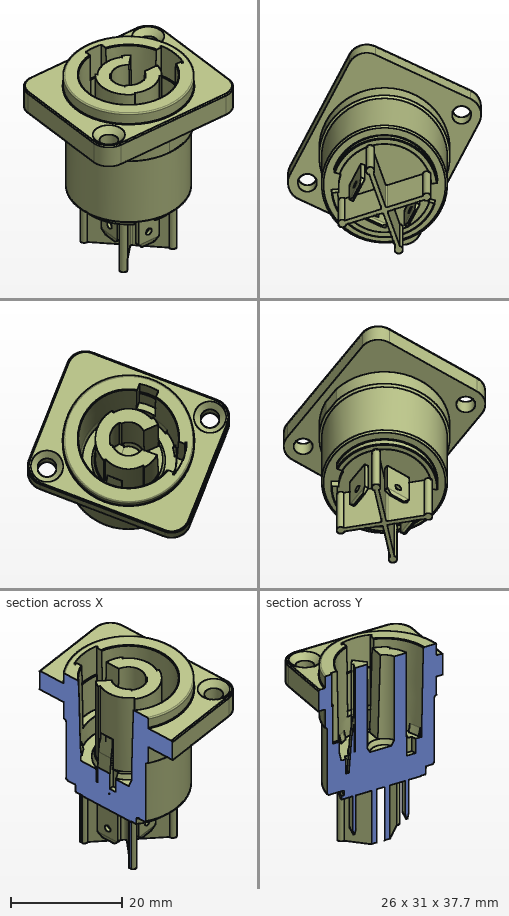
import cadquery as cq
import math

COLLAR_TOP = 2.45
FLANGE_THICKNESS = 4.5
SHOULDER_LENGTH = 4.1
BODY_BOTTOM = -22.45
RING_BOTTOM = -24.1
SPIGOT_BOTTOM = -24.2
TOTAL_LENGTH = 37.7
BARRIER_BOTTOM = COLLAR_TOP - TOTAL_LENGTH

FLANGE_WIDTH = 26.0
FLANGE_HEIGHT = 31.0
FLANGE_CORNER = 3.5
FLANGE_BEVEL = 0.25
SCREW_X = 9.5
SCREW_Y = 12.0
SCREW_DIA = 3.4
COUNTERSINK_DIA = 5.8
COUNTERSINK_ANGLE = 90

COLLAR_DIA = 23.5
COLLAR_ROUNDING = 0.25
COLLAR_FOOT = 0.12
BODY_DIA = 22.6
BODY_BEVEL = 0.35
SHOULDER_BEVEL = 0.4
KEY_FLAT_WIDTH = 3.4
RING_DIA = 19.1
RING_LIP_DIA = 19.2
RING_LIP_HEIGHT = 0.25
RING_BEVEL = 0.15
SPIGOT_DIA = 16.99

CATCH_ANGLES = (148, 172)
CATCH_FLOOR_RADIUS = 8.25
WINDOW_FLOOR_RADIUS = 7.8
WINDOW_HEIGHT = 0.9

CAVITY_FLOOR = -16.0
CAVITY_MOUTH_RADIUS = 9.0
CAVITY_FLOOR_RADIUS = 8.65
CAVITY_MOUTH_BEVEL = 0.15
CORE_RADIUS = 5.95
CORE_FOOT_RADIUS = 6.6
CORE_FOOT_STEP_RADIUS = 6.15
CORE_FOOT_HEIGHT = 1.0
CORE_TOP = COLLAR_TOP - 0.1
CORE_RELIEF_RADIUS = 5.55
CORE_RELIEF_ANGLES = (-27, 50)
CORE_GAP_SIDE = (0.42, 0.9)
CORE_GAP_SLANT = (0.1, 0.4)
BORE_MOUTH_RADIUS = 3.1
BORE_FLOOR_RADIUS = 2.6

TOP_KEY_RADIUS = 10.5
SIDE_KEY_RADIUS = 10.3
KEY_STEP = 0.3
KEY_STEP_Z = -4.15
KEYWAY_FLOOR = -12.0
TOP_KEY_WIDTH = 5.6
TOP_KEY_UNDERCUT_WIDTH = 6.3
TOP_KEY_UNDERCUT_RADIUS = 9.75
SIDE_KEY_WIDTH = 3.6
LOCKING_RAMP_ANGLES = ((-32, -8), (12, 28), (116, 128), CATCH_ANGLES, (195, 302))
RAMP_HEIGHT = 3.0
RAMP_RADIUS = 8.3

CONTACT_POCKET_RADIUS = 7.35
CONTACT_POCKET_WIDTH = 4.5
CONTACT_POCKET_DEPTH = 3.0
CONTACT_OUTER_X = 6.65
CONTACT_KNEE_X = 6.1
CONTACT_INNER_X = 5.5
CONTACT_WIDTH = 2.9
CONTACT_OFFSET_Y = 0.5
CONTACT_HEIGHT = 8.0
CONTACT_KNEE_HEIGHT = 4.0
EARTH_START_Y = -1.65
EARTH_RADIUS = 3.4
EARTH_WIDTH = 4.4

POST_DIA = 1.5
POST_POSITION = 5.66
WEB_THICKNESS = 0.8
WEB_FILLET = 0.3
TAB_WIDTH = 4.75
TAB_THICKNESS = 0.8
LINE_TAB_OUTER_FACE = 5.9
EARTH_TAB_OUTER_FACE = 4.4
TAB_BOTTOM = -32.15
TAB_TIP_LENGTH = 1.05
TAB_TIP_WIDTH = 2.85
TAB_TIP_THICKNESS = 0.3
TAB_HOLE_DIA = 1.3
TAB_HOLE_Z = -29.15


def cylinder(radius, bottom, top):
    return cq.Workplane("XY").workplane(offset=bottom).circle(radius).extrude(top - bottom)


def box(x_range, y_range, z_range):
    """Box spanning the given (low, high) ranges."""
    size = [high - low for low, high in (x_range, y_range, z_range)]
    corner = (x_range[0], y_range[0], z_range[0])
    return cq.Workplane("XY").box(*size, centered=False).translate(corner)


def sector(angles, inner, outer, bottom, top):
    """Ring segment between two angles in degrees."""
    def at(radius, angle):
        return (radius * math.cos(math.radians(angle)), radius * math.sin(math.radians(angle)))

    start, end = angles
    middle = (start + end) / 2
    return (
        cq.Workplane("XY").workplane(offset=bottom)
        .moveTo(*at(inner, start))
        .lineTo(*at(outer, start))
        .threePointArc(at(outer, middle), at(outer, end))
        .lineTo(*at(inner, end))
        .threePointArc(at(inner, middle), at(inner, start))
        .close()
        .extrude(top - bottom)
    )


def opposite(shape):
    """The same shape turned half a revolution about the main axis."""
    return shape.rotate((0, 0, 0), (0, 0, 1), 180)


def revolve_profile(points):
    """Revolve (radius, z) points about the main axis."""
    return cq.Workplane("XZ").polyline(points).close().revolve(360, (0, 0, 0), (0, 1, 0))


def flange():
    """Rounded rectangular mounting plate with a bevelled front rim."""
    return (
        cq.Workplane("XY").workplane(offset=-FLANGE_THICKNESS)
        .rect(FLANGE_WIDTH, FLANGE_HEIGHT).extrude(FLANGE_THICKNESS)
        .edges("|Z").fillet(FLANGE_CORNER)
        .faces(">Z").edges().chamfer(FLANGE_BEVEL)
    )


def cut_screw_holes(part):
    """Two countersunk screw holes in opposite corners of the flange."""
    return (
        part.faces(">Z").workplane(origin=(0, 0, 0))
        .pushPoints([(-SCREW_X, SCREW_Y), (SCREW_X, -SCREW_Y)])
        .cskHole(SCREW_DIA, COUNTERSINK_DIA, COUNTERSINK_ANGLE)
    )


def shell_outside():
    """Collar, shoulder, body, rear ring and spigot as one turned solid."""
    collar = COLLAR_DIA / 2
    body = BODY_DIA / 2
    ring = RING_DIA / 2
    lip = RING_LIP_DIA / 2
    spigot = SPIGOT_DIA / 2
    shoulder_bottom = -FLANGE_THICKNESS - SHOULDER_LENGTH
    turned = revolve_profile([
        (0, COLLAR_TOP),
        (collar, COLLAR_TOP),
        (collar, COLLAR_FOOT),
        (collar + COLLAR_FOOT, 0),
        (collar + COLLAR_FOOT, -FLANGE_THICKNESS / 2),
        (collar, -FLANGE_THICKNESS / 2),
        (collar, shoulder_bottom + SHOULDER_BEVEL),
        (body, shoulder_bottom),
        (body, BODY_BOTTOM + BODY_BEVEL),
        (body - BODY_BEVEL, BODY_BOTTOM),
        (lip, BODY_BOTTOM),
        (lip, BODY_BOTTOM - RING_LIP_HEIGHT),
        (ring, BODY_BOTTOM - RING_LIP_HEIGHT),
        (ring, RING_BOTTOM + RING_BEVEL),
        (ring - RING_BEVEL, RING_BOTTOM),
        (spigot, RING_BOTTOM),
        (spigot, SPIGOT_BOTTOM),
        (0, SPIGOT_BOTTOM),
    ]).faces(">Z").edges().fillet(COLLAR_ROUNDING)
    flat_distance = math.sqrt(collar ** 2 - (KEY_FLAT_WIDTH / 2) ** 2)
    flat = box(
        (-FLANGE_WIDTH / 2, -flat_distance),
        (-KEY_FLAT_WIDTH, KEY_FLAT_WIDTH),
        (shoulder_bottom, -FLANGE_THICKNESS),
    )
    return turned.cut(flat)


def cut_rear_catches(part):
    catch = sector(CATCH_ANGLES, CATCH_FLOOR_RADIUS, RING_DIA, SPIGOT_BOTTOM, BODY_BOTTOM)
    window = sector(CATCH_ANGLES, WINDOW_FLOOR_RADIUS, RING_DIA, BODY_BOTTOM - WINDOW_HEIGHT, BODY_BOTTOM)
    cutter = catch.union(window)
    return part.cut(cutter).cut(opposite(cutter))


def keyway_limit(radius):
    """Round boundary of a keyway, stepping inwards below the key step."""
    upper = cylinder(radius, KEY_STEP_Z, COLLAR_TOP)
    return upper.union(cylinder(radius - KEY_STEP, KEYWAY_FLOOR, KEY_STEP_Z))


def cavity():
    """Annular mating space with its two keyways."""
    space = revolve_profile([
        (0, COLLAR_TOP),
        (CAVITY_MOUTH_RADIUS + CAVITY_MOUTH_BEVEL, COLLAR_TOP),
        (CAVITY_MOUTH_RADIUS, COLLAR_TOP - CAVITY_MOUTH_BEVEL),
        (CAVITY_FLOOR_RADIUS, CAVITY_FLOOR),
        (0, CAVITY_FLOOR),
    ])
    levels = (KEYWAY_FLOOR, COLLAR_TOP)
    half = TOP_KEY_WIDTH / 2
    wide = TOP_KEY_UNDERCUT_WIDTH / 2
    top_key = box((-half, half), (0, TOP_KEY_RADIUS), levels).union(
        box((-wide, wide), (TOP_KEY_UNDERCUT_RADIUS, TOP_KEY_RADIUS), levels)
    )
    side_key = box((-SIDE_KEY_RADIUS, 0), (-SIDE_KEY_WIDTH / 2, SIDE_KEY_WIDTH / 2), levels)
    return (
        space
        .union(top_key.intersect(keyway_limit(TOP_KEY_RADIUS)))
        .union(side_key.intersect(keyway_limit(SIDE_KEY_RADIUS)))
    )


def core_gap():
    """Wedge through the +Y side of the core, with drafted walls at 90 and 135 degrees."""
    reach = 2 * CORE_RADIUS
    bottom = CAVITY_FLOOR + CORE_FOOT_HEIGHT
    bottom_outline, top_outline = [
        [(side, -side - slant), (side, reach), (-reach - slant, reach)]
        for side, slant in zip(CORE_GAP_SIDE, CORE_GAP_SLANT)
    ]
    return (
        cq.Workplane("XY").workplane(offset=bottom).polyline(bottom_outline).close()
        .workplane(offset=CORE_TOP - bottom).polyline(top_outline).close()
        .loft(ruled=True)
    )


def core():
    """Central C-shaped core with a bore, an entry gap and two relieved flanks."""
    foot_top = CAVITY_FLOOR + CORE_FOOT_HEIGHT
    body = revolve_profile([
        (BORE_FLOOR_RADIUS, CAVITY_FLOOR),
        (CORE_FOOT_RADIUS, CAVITY_FLOOR),
        (CORE_FOOT_STEP_RADIUS, foot_top),
        (CORE_RADIUS, foot_top),
        (CORE_RADIUS, CORE_TOP),
        (BORE_MOUTH_RADIUS, CORE_TOP),
        (BORE_MOUTH_RADIUS, foot_top),
    ])
    relief = sector(CORE_RELIEF_ANGLES, CORE_RELIEF_RADIUS, CORE_FOOT_RADIUS, foot_top, CORE_TOP)
    earth_relief = cylinder(EARTH_RADIUS, CAVITY_FLOOR, CORE_TOP).intersect(
        box((-EARTH_WIDTH / 2, EARTH_WIDTH / 2), (-EARTH_RADIUS, EARTH_START_Y), (CAVITY_FLOOR, CORE_TOP))
    )
    return body.cut(relief).cut(opposite(relief)).cut(core_gap()).cut(earth_relief)


def earth_contact():
    """Concave ramp rising towards the -Y wall of the bore."""
    reach = EARTH_RADIUS + EARTH_START_Y
    ramp = (
        cq.Workplane("YZ").workplane(offset=-EARTH_WIDTH / 2)
        .moveTo(EARTH_START_Y, CAVITY_FLOOR)
        .radiusArc((EARTH_START_Y - reach, CAVITY_FLOOR + reach), reach)
        .lineTo(EARTH_START_Y - reach, CAVITY_FLOOR)
        .close()
        .extrude(EARTH_WIDTH)
    )
    return ramp.intersect(cylinder(EARTH_RADIUS, CAVITY_FLOOR, CORE_TOP))


def locking_ramp(angles):
    """Conical ramp on the cavity wall, running up from the floor to the wall."""
    ramp = revolve_profile([
        (RAMP_RADIUS, CAVITY_FLOOR),
        (CAVITY_MOUTH_RADIUS, CAVITY_FLOOR),
        (CAVITY_MOUTH_RADIUS, CAVITY_FLOOR + RAMP_HEIGHT),
    ])
    return ramp.intersect(
        sector(angles, CORE_FOOT_RADIUS, SIDE_KEY_RADIUS, CAVITY_FLOOR, CAVITY_FLOOR + RAMP_HEIGHT)
    )


def contact_pocket():
    """Pocket beside the core at -X, cut below the cavity floor."""
    bottom = CAVITY_FLOOR - CONTACT_POCKET_DEPTH
    half = CONTACT_POCKET_WIDTH / 2
    top = CAVITY_FLOOR + CONTACT_HEIGHT
    return cylinder(CONTACT_POCKET_RADIUS, bottom, top).intersect(
        box((-CONTACT_POCKET_RADIUS, -CONTACT_INNER_X), (-half, half), (bottom, top))
    )


def line_contact():
    """Contact spring in the -X pocket, its outer side sloping away from the core."""
    bottom = CAVITY_FLOOR - CONTACT_POCKET_DEPTH
    return (
        cq.Workplane("XZ")
        .polyline([
            (-CONTACT_OUTER_X, bottom),
            (-CONTACT_INNER_X, bottom),
            (-CONTACT_INNER_X, CAVITY_FLOOR + CONTACT_HEIGHT),
            (-CONTACT_KNEE_X, CAVITY_FLOOR + CONTACT_KNEE_HEIGHT),
        ])
        .close()
        .extrude(CONTACT_WIDTH / 2, both=True)
        .translate((0, CONTACT_OFFSET_Y, 0))
    )


def barrier():
    """Crossed diagonal webs with a round post at each end."""
    length = SPIGOT_BOTTOM - BARRIER_BOTTOM
    base = cq.Workplane("XY").workplane(offset=BARRIER_BOTTOM)
    span = 2 * math.sqrt(2) * POST_POSITION
    cross = (
        base.rect(span, WEB_THICKNESS).extrude(length)
        .union(base.rect(WEB_THICKNESS, span).extrude(length))
    )
    inner = cq.selectors.BoxSelector(
        (-WEB_THICKNESS, -WEB_THICKNESS, BARRIER_BOTTOM), (WEB_THICKNESS, WEB_THICKNESS, SPIGOT_BOTTOM),
    )
    cross = cross.edges("|Z").edges(inner).fillet(WEB_FILLET).rotate((0, 0, 0), (0, 0, 1), 45)
    posts = base.rect(2 * POST_POSITION, 2 * POST_POSITION, forConstruction=True).vertices()
    return cross.union(posts.circle(POST_DIA / 2).extrude(length))


def terminal_tab(outer_face):
    """Solder tab on the -Y side, tapering to a thin narrow tip."""
    tip_top = TAB_BOTTOM + TAB_TIP_LENGTH
    middle_y = TAB_THICKNESS / 2 - outer_face
    blade = (
        cq.Workplane("XY").workplane(offset=tip_top).center(0, middle_y)
        .rect(TAB_WIDTH, TAB_THICKNESS).extrude(SPIGOT_BOTTOM - tip_top)
    )
    tip = (
        cq.Workplane("XY").workplane(offset=TAB_BOTTOM).center(0, middle_y)
        .rect(TAB_TIP_WIDTH, TAB_TIP_THICKNESS)
        .workplane(offset=TAB_TIP_LENGTH)
        .rect(TAB_WIDTH, TAB_THICKNESS)
        .loft()
    )
    hole = (
        cq.Workplane("XZ").workplane(offset=outer_face - TAB_THICKNESS)
        .center(0, TAB_HOLE_Z).circle(TAB_HOLE_DIA / 2).extrude(TAB_THICKNESS)
    )
    return blade.union(tip).cut(hole)


result = cut_screw_holes(flange()).union(shell_outside())
result = cut_rear_catches(result).cut(cavity()).union(core()).union(earth_contact())
for ramp_angles in LOCKING_RAMP_ANGLES:
    result = result.union(locking_ramp(ramp_angles))
for pocket, contact in (
    (contact_pocket(), line_contact()),
    (opposite(contact_pocket()), opposite(line_contact())),
):
    result = result.cut(pocket).union(contact)
result = result.union(barrier()).union(terminal_tab(EARTH_TAB_OUTER_FACE))
for tab_angle in (-90, 90):
    line_tab = terminal_tab(LINE_TAB_OUTER_FACE).rotate((0, 0, 0), (0, 0, 1), tab_angle)
    result = result.union(line_tab)